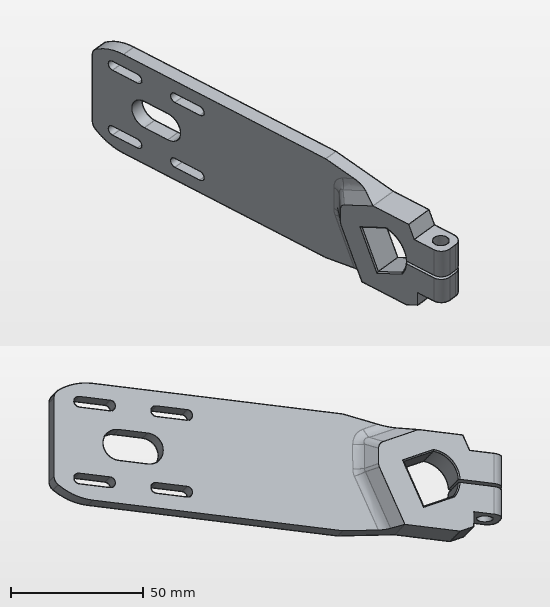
import cadquery as cq
import math

length = 178.2
width = 47.2
plate_thickness = 6.0
head_thickness = 12.0
half_width = width / 2

end_arc_center_x = 15.5
end_corner_radius = 4.0

slot_length = 16.5
slot_width = 4.3
slot_center_xs = (16.2, 47.0)
slot_center_z = 15.5
window_length = 24.0
window_width = 12.5
window_center_x = sum(slot_center_xs) / len(slot_center_xs)

tilt = 25.0
taper_start_x = 115.5
head_top_z = 18.7
head_top_start_x = 143.8
head_top_end_x = 161.5
head_bottom_z = -20.3
head_bottom_start_x = 138.3
head_bottom_end_x = 160.4
lug_top_z = 12.8
lug_bottom_z = -11.8
lower_step_x = 166.0
lug_end_radius = 4.3

raised_left_x = 127.8
raised_wall_angle = 45.0
raised_corner_radius = 4.6
raised_foot_radius = 5.9

bore_center_x = 149.0
bore_radius = 10.9
bore_flat_width = 18.9
bore_flat_distance = 7.7
bore_rim_chamfer = 0.5
slit_width = 1.2
screw_diameter = 6.2
screw_center_x = 172.3

stock_margin = 8.9
stock_end_x = length + stock_margin
stock_reach_z = half_width + stock_margin
edge_tolerance = 0.02

tilt_angle = math.radians(tilt)
tilt_sin = math.sin(tilt_angle)
tilt_cos = math.cos(tilt_angle)
tilt_tan = math.tan(tilt_angle)


def front_plane(y):
    """Sketch plane facing -Y, with sketch axes along X and Z."""
    return cq.Workplane("XZ", origin=(0, y, 0))


def make_outline():
    """Outline of the whole arm as a prism of full head thickness."""
    center_gap = half_width - end_corner_radius
    center_dx = end_arc_center_x - end_corner_radius
    corner_z = math.sqrt(center_gap**2 - center_dx**2)
    join_x = end_arc_center_x - center_dx * half_width / center_gap
    join_z = corner_z * half_width / center_gap

    upper_step_x = head_top_end_x + (head_top_z - lug_top_z) * tilt_tan
    lower_bevel_z = head_bottom_z + (lower_step_x - head_bottom_end_x) * tilt_tan

    return (
        front_plane(0)
        .moveTo(end_arc_center_x, half_width)
        .lineTo(taper_start_x, half_width)
        .lineTo(head_top_start_x, head_top_z)
        .lineTo(head_top_end_x, head_top_z)
        .lineTo(upper_step_x, lug_top_z)
        .lineTo(length, lug_top_z)
        .lineTo(length, lug_bottom_z)
        .lineTo(lower_step_x, lug_bottom_z)
        .lineTo(lower_step_x, lower_bevel_z)
        .lineTo(head_bottom_end_x, head_bottom_z)
        .lineTo(head_bottom_start_x, head_bottom_z)
        .lineTo(taper_start_x, -half_width)
        .lineTo(end_arc_center_x, -half_width)
        .tangentArcPoint((join_x, -join_z), relative=False)
        .tangentArcPoint((0, -corner_z), relative=False)
        .lineTo(0, corner_z)
        .tangentArcPoint((join_x, join_z), relative=False)
        .tangentArcPoint((end_arc_center_x, half_width), relative=False)
        .close()
        .extrude(head_thickness)
        .edges("|Z and >X")
        .fillet(lug_end_radius)
    )


def raised_profile(y, offset):
    """Outline of the raised face moved outward by offset, running out past the arm."""
    left_x = raised_left_x - offset
    upper_corner_z = head_top_z - (head_top_start_x - left_x) * tilt_tan + offset / tilt_cos
    lower_corner_z = head_bottom_z + (head_bottom_start_x - left_x) / tilt_tan - offset / tilt_sin
    upper_end_x = left_x + (stock_reach_z - upper_corner_z) / tilt_tan
    lower_end_x = left_x + (stock_reach_z + lower_corner_z) * tilt_tan
    return (
        front_plane(y)
        .moveTo(left_x, upper_corner_z)
        .lineTo(upper_end_x, stock_reach_z)
        .lineTo(stock_end_x, stock_reach_z)
        .lineTo(stock_end_x, -stock_reach_z)
        .lineTo(lower_end_x, -stock_reach_z)
        .lineTo(left_x, lower_corner_z)
        .close()
        .val()
    )


def make_stepped_stock():
    """Oversized plate with the sloped, filleted raised face of the head."""
    wall_run = (head_thickness - plate_thickness) / math.tan(math.radians(raised_wall_angle))
    foot_wire = raised_profile(-plate_thickness, wall_run)
    face_wire = raised_profile(-head_thickness, 0)
    raised = cq.Workplane(cq.Solid.makeLoft([foot_wire, face_wire], True))
    raised = raised.faces("<X").edges("not |Z").fillet(raised_corner_radius)
    plate = cq.Workplane("XY").box(
        stock_end_x, plate_thickness, 2 * stock_reach_z, centered=(False, False, True)
    )
    stock = plate.translate((0, -plate_thickness, 0)).union(raised)
    foot_edges = cq.selectors.BoxSelector(
        (edge_tolerance, -plate_thickness - edge_tolerance, -stock_reach_z + edge_tolerance),
        (stock_end_x - edge_tolerance, edge_tolerance - plate_thickness, stock_reach_z - edge_tolerance),
    )
    return stock.edges(foot_edges).fillet(raised_foot_radius)


def make_slots():
    """Four mounting slots and the larger window between them."""
    mounting_points = [(x, z) for x in slot_center_xs for z in (-slot_center_z, slot_center_z)]
    slots = front_plane(0).pushPoints(mounting_points).slot2D(slot_length, slot_width)
    window = front_plane(0).center(window_center_x, 0).slot2D(window_length, window_width)
    return slots.extrude(head_thickness).union(window.extrude(head_thickness))


def bore_profile(y, offset):
    """Round bore with two parallel flats and a square closed end, grown by offset."""
    half_flat = bore_flat_width / 2 + offset
    radius = bore_radius + offset
    closed_end_x = -bore_flat_distance - offset
    flat_end_x = math.sqrt(radius**2 - half_flat**2)
    return (
        front_plane(y)
        .moveTo(closed_end_x, -half_flat)
        .lineTo(flat_end_x, -half_flat)
        .threePointArc((radius, 0), (flat_end_x, half_flat))
        .lineTo(closed_end_x, half_flat)
        .close()
    )


def make_bore():
    """Tilted bore with its front rim chamfered."""
    bore = bore_profile(0, 0).extrude(head_thickness)
    rim_inner = bore_profile(bore_rim_chamfer - head_thickness, 0).val()
    rim_outer = bore_profile(-head_thickness, bore_rim_chamfer).val()
    rim = cq.Solid.makeLoft([rim_inner, rim_outer], True)
    bore = bore.union(cq.Workplane(rim))
    return bore.rotate((0, 0, 0), (0, 1, 0), -tilt).translate((bore_center_x, 0, 0))


def make_clamp_cuts():
    """Slit from the bore to the free end, and the screw hole across it."""
    slit_length = length - bore_center_x
    slit = front_plane(0).center(bore_center_x + slit_length / 2, 0)
    slit = slit.rect(slit_length, slit_width).extrude(head_thickness)
    screw = cq.Workplane("XY").center(screw_center_x, -head_thickness / 2)
    screw = screw.circle(screw_diameter / 2).extrude(half_width, both=True)
    return slit.union(screw)


arm = make_outline().intersect(make_stepped_stock())
result = arm.cut(make_slots()).cut(make_bore()).cut(make_clamp_cuts())